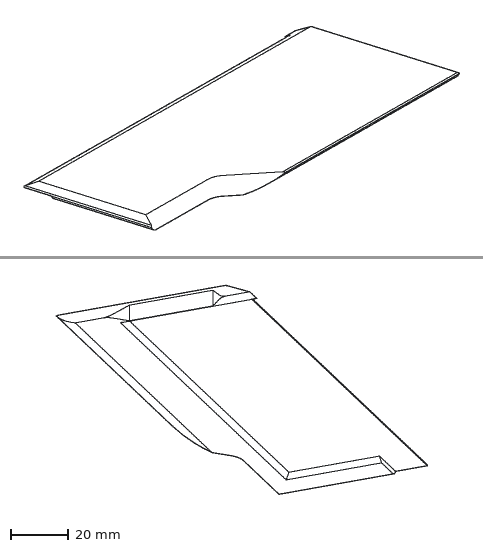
import cadquery as cq
import math

length = 168.0
width = 77.3
thickness = 8.0

left_bevel_run = 12.6
right_round_run = 10.5
right_bulge_x, right_bulge_z = 72.7, 3.5
edge_break_run, edge_break_drop = 0.7, 0.3

back_slope_run = 7.9
front_slope_run = 3.4
front_land_top = 2.7
underside_height = 1.8
front_round_run = 3.7

leg_right = 59.3
step_top_y = 58.0
step_fillet = 8.0

notch_left, notch_right = 16.6, 48.5
notch_floor_y = 162.1
notch_mouth_fillet = 5.0

trimmed_left = 3.5
lip_bottom_y = 161.8
front_rib_left = 15.6
front_rib_back = 15.8
recess_right = 52.0
margin = 8.4


def make_cross_section():
    """Plate profile across the width, swept along the full length."""
    return (
        cq.Workplane("XZ")
        .lineTo(left_bevel_run, thickness)
        .lineTo(width - edge_break_run, thickness)
        .lineTo(width, thickness - edge_break_drop)
        .threePointArc((right_bulge_x, right_bulge_z), (width - right_round_run, 0))
        .close()
        .extrude(-length)
    )


def make_end_profile():
    """Lengthwise profile with the sloped back and rounded front ends."""
    arc_lean = math.sqrt(0.5)
    front_arc_mid = (
        front_slope_run + front_round_run * (1 - arc_lean),
        underside_height * (1 - arc_lean),
    )
    return (
        cq.Workplane("YZ")
        .moveTo(0, thickness)
        .lineTo(length - back_slope_run, thickness)
        .lineTo(length, 0)
        .lineTo(front_slope_run + front_round_run, 0)
        .threePointArc(front_arc_mid, (front_slope_run, underside_height))
        .lineTo(front_slope_run, front_land_top)
        .close()
        .extrude(width)
    )


def make_step_cutter():
    """Material beside the narrow front leg, ending in a 45 degree step."""
    step_bottom_y = step_top_y - (width - leg_right)
    return (
        cq.Workplane("XY")
        .moveTo(leg_right, -margin)
        .lineTo(leg_right, step_bottom_y)
        .lineTo(width + margin, step_top_y + margin)
        .lineTo(width + margin, -margin)
        .close()
        .extrude(thickness)
        .edges(cq.selectors.NearestToPointSelector((leg_right, step_bottom_y, thickness / 2)))
        .fillet(step_fillet)
    )


def make_notch_cutter():
    """Notch with 45 degree sides and rounded mouth corners."""
    depth = length - notch_floor_y
    tangent = notch_mouth_fillet * math.tan(math.radians(22.5))
    diagonal = tangent * math.sqrt(0.5)
    sagitta = notch_mouth_fillet * (1 - math.cos(math.radians(22.5)))
    arc_half_x = notch_mouth_fillet * math.sin(math.radians(22.5))
    left_mouth = notch_left - depth
    right_mouth = notch_right + depth
    return (
        cq.Workplane("XY")
        .moveTo(left_mouth - tangent, length)
        .threePointArc(
            (left_mouth - tangent + arc_half_x, length - sagitta),
            (left_mouth + diagonal, length - diagonal),
        )
        .lineTo(notch_left, notch_floor_y)
        .lineTo(notch_right, notch_floor_y)
        .lineTo(right_mouth - diagonal, length - diagonal)
        .threePointArc(
            (right_mouth + tangent - arc_half_x, length - sagitta),
            (right_mouth + tangent, length),
        )
        .close()
        .extrude(thickness)
    )


def make_lengthwise_recess(left, right, front_bottom, front_top):
    """Recess under the plate, ending at the 45 degree back lip."""
    return (
        cq.Workplane("YZ", origin=(left, 0, 0))
        .moveTo(front_bottom, 0)
        .lineTo(lip_bottom_y, 0)
        .lineTo(lip_bottom_y - underside_height, underside_height)
        .lineTo(front_top, underside_height)
        .close()
        .extrude(right - left)
    )


def make_recess_cutter():
    """Recess open on the left, stopped by the front rib and a sloped right wall."""
    open_side = make_lengthwise_recess(-margin, front_rib_left, -margin, -margin)
    behind_rib = make_lengthwise_recess(
        front_rib_left, recess_right, front_rib_back, front_rib_back + underside_height
    )
    right_wall = (
        cq.Workplane("XZ")
        .moveTo(-margin, 0)
        .lineTo(recess_right, 0)
        .lineTo(recess_right - underside_height, underside_height)
        .lineTo(-margin, underside_height)
        .close()
        .extrude(-length)
    )
    return open_side.union(behind_rib.intersect(right_wall))


def make_left_trim():
    """Upright trim of the sharp left edge, leaving the hook at the back."""
    trim_length = lip_bottom_y - underside_height
    return cq.Workplane("XY").box(trimmed_left, trim_length, thickness, centered=False)


result = make_cross_section().intersect(make_end_profile())
result = result.cut(make_step_cutter())
result = result.cut(make_notch_cutter())
result = result.cut(make_recess_cutter())
result = result.cut(make_left_trim())